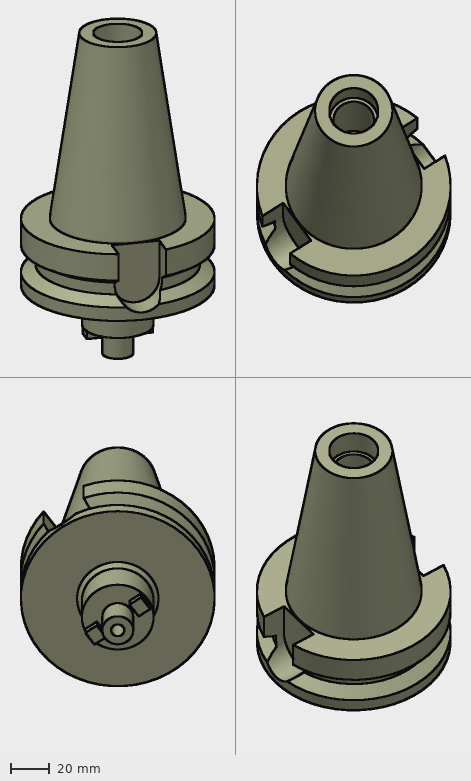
import cadquery as cq

total_height = 177.8
key_bottom = 11.2
spigot_bottom = 15.8
neck_chamfer_bottom = 35.4
flange_bottom = 37.9
groove_bottom = 45.3
groove_floor_bottom = 49.6
groove_floor_top = 56.2
groove_top = 60.3
flange_top = 74.9
taper_bottom = 76.0

flange_radius = 100.0 / 2
groove_radius = 42.5
taper_large_radius = 35.0
taper_small_radius = 20.0
spigot_radius = 18.5
neck_chamfer_radius = 21.0
pilot_radius = 8.0

entry_radius = 12.6
entry_depth = 13.3
thread_radius = 10.5
thread_depth = 53.3
coolant_radius = 5.2
coolant_bottom = spigot_bottom
through_radius = 3.4

slot_width = 25.2
slot_bottom = 42.0
slot_floor_distance = 35.4

key_width = 8.2
key_inner = 10.3
key_outer = 17.6


def turned_body():
    """Revolve the half outline of the holder about the Z axis."""
    outline = [
        (0, 0),
        (pilot_radius, 0),
        (pilot_radius, spigot_bottom),
        (spigot_radius, spigot_bottom),
        (spigot_radius, neck_chamfer_bottom),
        (neck_chamfer_radius, flange_bottom),
        (flange_radius, flange_bottom),
        (flange_radius, groove_bottom),
        (groove_radius, groove_floor_bottom),
        (groove_radius, groove_floor_top),
        (flange_radius, groove_top),
        (flange_radius, flange_top),
        (taper_large_radius, flange_top),
        (taper_large_radius, taper_bottom),
        (taper_small_radius, total_height),
        (0, total_height),
    ]
    return cq.Workplane("XZ").polyline(outline).close().revolve(360, (0, 0), (0, 1))


def bore(radius, bottom):
    """Cylinder on the axis from a given height up to the small end."""
    return cq.Workplane("XY").workplane(offset=bottom).circle(radius).extrude(total_height - bottom)


def drive_slot(side):
    """Round-bottomed slot cutter, open at the top and outer side of the flange."""
    half_width = slot_width / 2
    arc_center = slot_bottom + half_width
    return (
        cq.Workplane("YZ")
        .workplane(offset=side * slot_floor_distance)
        .moveTo(-half_width, flange_top)
        .lineTo(-half_width, arc_center)
        .threePointArc((0, slot_bottom), (half_width, arc_center))
        .lineTo(half_width, flange_top)
        .close()
        .extrude(side * (flange_radius - slot_floor_distance))
    )


def drive_key(side):
    """Rectangular key hanging from the spigot face."""
    return (
        cq.Workplane("XY")
        .workplane(offset=key_bottom)
        .center(0, side * (key_inner + key_outer) / 2)
        .rect(key_width, key_outer - key_inner)
        .extrude(neck_chamfer_bottom - key_bottom)
    )


result = turned_body()
for side in (-1, 1):
    result = result.cut(drive_slot(side)).union(drive_key(side))

bore_steps = [
    (entry_radius, total_height - entry_depth),
    (thread_radius, total_height - thread_depth),
    (coolant_radius, coolant_bottom),
    (through_radius, 0),
]
for radius, bottom in bore_steps:
    result = result.cut(bore(radius, bottom))